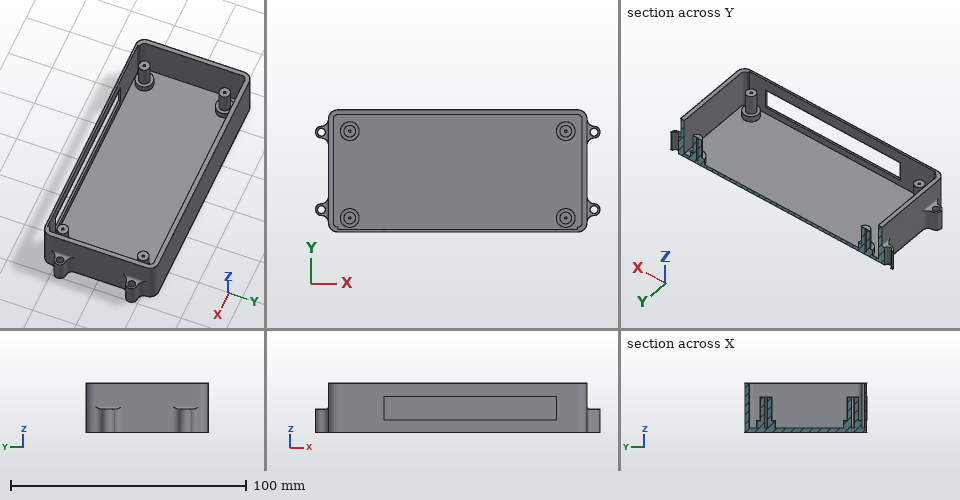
import cadquery as cq
import math

total_length = 121.0
case_length = 110.0
case_width = 52.0
case_height = 21.0
wall = 2.0
floor = 2.0
corner_radius = 4.0
inner_corner_radius = corner_radius - wall

thin_wall = 1.0
thin_length = 101.6
window_length = 73.3
window_height = 9.9
window_bottom = 5.5
window_centre_x = 5.3

post_spacing_x = 91.8
post_spacing_y = 36.9
post_centre_y = -1.6
post_base_diameter = 8.0
post_base_height = 3.0
post_diameter = 5.0
post_height = 10.0
pilot_diameter = 1.0

lug_radius = 2.5
lug_hole_diameter = 3.3
lug_height = 10.0
lug_spacing_y = 32.9
flare_radius = 3.0
top_fillet = 1.0

case_end = case_length / 2
case_front = -case_width / 2
lug_reach = total_length / 2 - case_end - lug_radius


def make_case():
    shell = (
        cq.Workplane("XY")
        .rect(case_length, case_width)
        .extrude(case_height)
        .edges("|Z")
        .fillet(corner_radius)
    )
    cavity = (
        cq.Workplane("XY", origin=(0, 0, floor))
        .rect(case_length - 2 * wall, case_width - 2 * wall)
        .extrude(case_height - floor)
        .edges("|Z")
        .fillet(inner_corner_radius)
    )
    recess_depth = 2 * wall - thin_wall
    recess = cq.Workplane("XY").box(
        thin_length, recess_depth, case_height - floor, centered=(True, False, False)
    ).translate((0, case_front + thin_wall, floor))
    window = cq.Workplane("XY").box(
        window_length, 2 * wall, window_height, centered=(True, True, False)
    ).translate((window_centre_x, case_front, window_bottom))
    return shell.cut(cavity).cut(recess).cut(window)


def make_post():
    """Wide base with a narrower column and a blind pilot hole down to the floor."""
    return (
        cq.Workplane("XY", origin=(0, 0, floor))
        .circle(post_base_diameter / 2)
        .extrude(post_base_height)
        .faces(">Z")
        .workplane()
        .circle(post_diameter / 2)
        .extrude(post_height)
        .faces(">Z")
        .workplane()
        .circle(pilot_diameter / 2)
        .cutBlind(-(post_base_height + post_height))
    )


def make_lug():
    """Lug pointing along +X, with the end wall's outer face at X = 0."""
    flare_x = flare_radius
    flare_y = math.sqrt((lug_radius + flare_radius) ** 2 - (lug_reach - flare_x) ** 2)
    tip_share = lug_radius / (lug_radius + flare_radius)
    tangent_x = lug_reach + tip_share * (flare_x - lug_reach)
    tangent_y = tip_share * flare_y
    wall_angle = math.pi
    tip_angle = math.atan2(tangent_y - flare_y, tangent_x - flare_x) + 2 * math.pi
    middle_angle = (wall_angle + tip_angle) / 2
    middle_x = flare_x + flare_radius * math.cos(middle_angle)
    middle_y = flare_y + flare_radius * math.sin(middle_angle)
    root_x = -wall / 2

    plan = (
        cq.Workplane("XY")
        .moveTo(root_x, -flare_y)
        .lineTo(0, -flare_y)
        .threePointArc((middle_x, -middle_y), (tangent_x, -tangent_y))
        .threePointArc((lug_reach + lug_radius, 0), (tangent_x, tangent_y))
        .threePointArc((middle_x, middle_y), (0, flare_y))
        .lineTo(root_x, flare_y)
        .close()
        .extrude(lug_height + top_fillet)
    )
    arc_offset = top_fillet * (1 - math.sqrt(0.5))
    side = (
        cq.Workplane("XZ")
        .moveTo(root_x, 0)
        .lineTo(lug_reach + lug_radius, 0)
        .lineTo(lug_reach + lug_radius, lug_height)
        .lineTo(top_fillet, lug_height)
        .threePointArc((arc_offset, lug_height + arc_offset), (0, lug_height + top_fillet))
        .lineTo(root_x, lug_height + top_fillet)
        .close()
        .extrude(flare_y, both=True)
    )
    hole = (
        cq.Workplane("XY")
        .center(lug_reach, 0)
        .circle(lug_hole_diameter / 2)
        .extrude(lug_height + top_fillet)
    )
    return plan.intersect(side).cut(hole)


result = make_case()
post = make_post()
right_lug = make_lug().translate((case_end, 0, 0))
left_lug = right_lug.mirror("YZ")

for side_y in (-1, 1):
    lug_y = side_y * lug_spacing_y / 2
    result = result.union(right_lug.translate((0, lug_y, 0)))
    result = result.union(left_lug.translate((0, lug_y, 0)))
    post_y = post_centre_y + side_y * post_spacing_y / 2
    for side_x in (-1, 1):
        result = result.union(post.translate((side_x * post_spacing_x / 2, post_y, 0)))